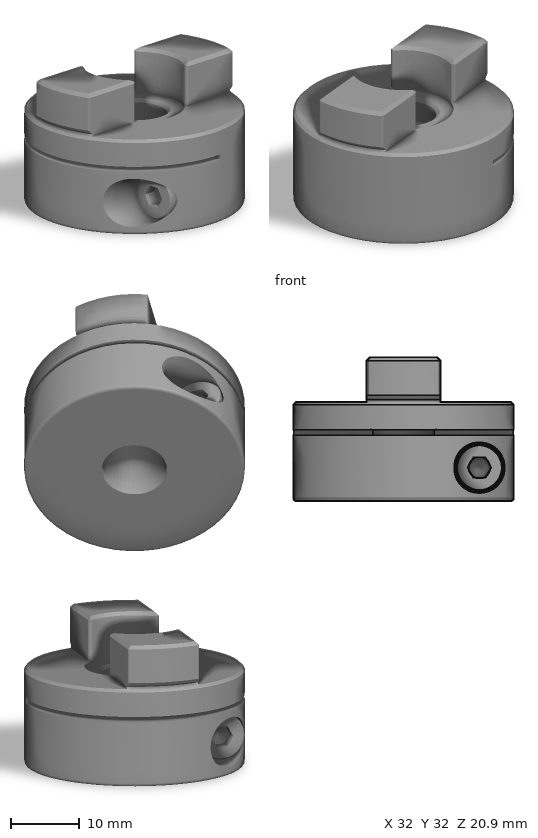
import cadquery as cq

OUTER_RADIUS = 16.0
HUB_HEIGHT = 14.4
TOP_CHAMFER = 0.4
BOTTOM_ROUND = 0.48
BORE_RADIUS = 4.75
BORE_CHAMFER = 0.5
RECESS_RADIUS = 7.25
RECESS_DEPTH = 0.4

TOTAL_HEIGHT = 20.9
JAW_WIDTH = 10.75
JAW_CORNER_RADIUS = 0.4
JAW_TOP_CHAMFER = 0.5
GROOVE_DEPTH = 0.7

SLIT_BOTTOM = 9.57
SLIT_HEIGHT = 0.8
SLIT_END_Y = 1.5

SCREW_X = 11.0
SCREW_Z = 4.85
COUNTERBORE_RADIUS = 3.68
HEAD_RADIUS = 3.45
HEAD_FRONT_Y = -7.5
HEAD_LENGTH = 4.0
HEAD_CHAMFER = 0.22
HEX_CORNER_DIAMETER = 3.42
HEX_DEPTH = 1.92
SOCKET_CONE_RADIUS = 1.57
SOCKET_CONE_DEPTH = 0.9


def cylinder(radius, bottom, top):
    return cq.Workplane("XY").workplane(offset=bottom).circle(radius).extrude(top - bottom)


def y_workplane(y):
    """Plane centred on the screw axis whose extrusions run toward +Y."""
    return cq.Workplane(cq.Plane(origin=(SCREW_X, y, SCREW_Z), xDir=(1, 0, 0), normal=(0, 1, 0)))


def make_disc():
    disc = cylinder(OUTER_RADIUS, 0, HUB_HEIGHT)
    return disc.faces(">Z").edges().chamfer(TOP_CHAMFER).faces("<Z").edges().fillet(BOTTOM_ROUND)


def make_jaw(side):
    """Jaw on the +Y (side = 1) or -Y (side = -1) half of the hub, rooted in the chamfered rim."""
    root = HUB_HEIGHT - TOP_CHAMFER
    ring = cylinder(OUTER_RADIUS, root, TOTAL_HEIGHT).cut(cylinder(RECESS_RADIUS, root, TOTAL_HEIGHT))
    block = cq.Workplane("XY").box(
        JAW_WIDTH, OUTER_RADIUS, TOTAL_HEIGHT, centered=(True, True, False)
    ).translate((0, side * OUTER_RADIUS / 2, 0))
    sharp_jaw = ring.intersect(block)
    rounded_corners = sharp_jaw.edges("|Z").fillet(JAW_CORNER_RADIUS)
    chamfered_top = sharp_jaw.faces(">Z").edges().chamfer(JAW_TOP_CHAMFER)
    return rounded_corners.intersect(chamfered_top)


def make_groove():
    rim_bottom = HUB_HEIGHT - TOP_CHAMFER
    return (
        cq.Workplane("XZ")
        .moveTo(OUTER_RADIUS, rim_bottom)
        .lineTo(OUTER_RADIUS - GROOVE_DEPTH, rim_bottom + GROOVE_DEPTH)
        .lineTo(OUTER_RADIUS, rim_bottom + 2 * GROOVE_DEPTH)
        .close()
        .revolve(360, (0, 0, 0), (0, 1, 0))
    )


def make_bore():
    bore_top = HUB_HEIGHT - RECESS_DEPTH
    countersink = cq.Solid.makeCone(
        BORE_RADIUS, BORE_RADIUS + BORE_CHAMFER, BORE_CHAMFER, cq.Vector(0, 0, bore_top - BORE_CHAMFER)
    )
    return cylinder(BORE_RADIUS, 0, bore_top).union(cq.Workplane(countersink))


def make_slit():
    return cq.Workplane("XY").box(
        2 * OUTER_RADIUS, OUTER_RADIUS + SLIT_END_Y, SLIT_HEIGHT, centered=(True, False, False)
    ).translate((0, -OUTER_RADIUS, SLIT_BOTTOM))


def make_hub():
    hub = make_disc()
    for side in (1, -1):
        hub = hub.union(make_jaw(side))
    hub = hub.cut(make_groove())
    hub = hub.cut(cylinder(RECESS_RADIUS, HUB_HEIGHT - RECESS_DEPTH, HUB_HEIGHT))
    hub = hub.cut(make_bore()).cut(make_slit())
    counterbore_length = OUTER_RADIUS + HEAD_FRONT_Y + HEAD_LENGTH
    counterbore = y_workplane(-OUTER_RADIUS).circle(COUNTERBORE_RADIUS).extrude(counterbore_length)
    return hub.cut(counterbore)


def make_screw():
    head = y_workplane(HEAD_FRONT_Y).circle(HEAD_RADIUS).extrude(HEAD_LENGTH)
    head = head.faces("<Y").edges().chamfer(HEAD_CHAMFER)
    socket = y_workplane(HEAD_FRONT_Y).polygon(6, HEX_CORNER_DIAMETER).extrude(HEX_DEPTH)
    socket_floor = cq.Solid.makeCone(
        SOCKET_CONE_RADIUS, 0, SOCKET_CONE_DEPTH,
        cq.Vector(SCREW_X, HEAD_FRONT_Y + HEX_DEPTH, SCREW_Z), cq.Vector(0, 1, 0),
    )
    return head.cut(socket).cut(cq.Workplane(socket_floor))


hub = make_hub()
screw = make_screw()
result = cq.Compound.makeCompound([hub.solids().val(), screw.solids().val()])